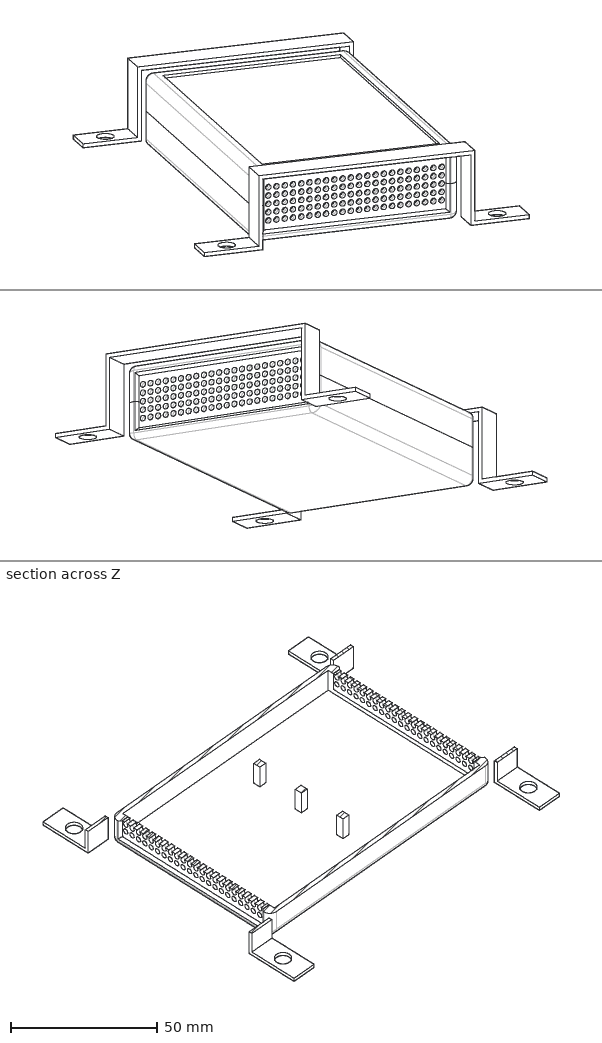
import cadquery as cq

overall_length = 132.0
overall_width = 118.0
overall_height = 28.0

bracket_width = 10.0
strap_thickness = 1.5
bracket_bottom = 1.0
foot_length = 19.8
foot_hole_diameter = 6.0
bridge_width = overall_width - 2 * foot_length
bracket_center_x = (overall_length - bracket_width) / 2
foot_hole_y = (overall_width - foot_length) / 2

case_length = 110.1
case_clearance = 0.3
case_width = bridge_width - 2 * (strap_thickness + case_clearance)
case_height = 26.1
split_height = case_height / 2
side_wall = 2.0
floor_thickness = 2.0
roof_thickness = 2.0
side_radius = 3.0
end_radius = 2.0

label_margin = 5.3
label_depth = 1.0
cavity_height = case_height - floor_thickness - roof_thickness - label_depth

opening_width = 66.0
opening_height = 18.5
opening_chamfer = 1.0
panel_thickness = 3.0
end_wall = opening_chamfer + panel_thickness

vent_diameter = 2.0
vent_columns = 22
vent_rows = 5
vent_field_width = 63.0
vent_pitch = vent_field_width / (vent_columns - 1)

post_size = 3.0
side_post_y = 19.5
crossbar_bottom = 19.5
cavity_top = floor_thickness + cavity_height
crossbar_length = 2 * side_post_y - post_size


def make_bracket(center_x):
    """Bent strap that bridges the case and ends in two drilled feet."""
    half_bridge = bridge_width / 2
    half_inside = half_bridge - strap_thickness
    half_overall = overall_width / 2
    foot_top = bracket_bottom + strap_thickness
    outline = [
        (-half_overall, bracket_bottom),
        (-half_inside, bracket_bottom),
        (-half_inside, overall_height - strap_thickness),
        (half_inside, overall_height - strap_thickness),
        (half_inside, bracket_bottom),
        (half_overall, bracket_bottom),
        (half_overall, foot_top),
        (half_bridge, foot_top),
        (half_bridge, overall_height),
        (-half_bridge, overall_height),
        (-half_bridge, foot_top),
        (-half_overall, foot_top),
    ]
    strap = cq.Workplane("YZ").polyline(outline).close().extrude(bracket_width / 2, both=True)
    holes = (
        cq.Workplane("XY")
        .pushPoints([(0, -foot_hole_y), (0, foot_hole_y)])
        .circle(foot_hole_diameter / 2)
        .extrude(foot_top)
    )
    return strap.cut(holes).translate((center_x, 0, 0))


def make_case():
    """Hollow rounded enclosure with open ends, not yet split."""
    case = cq.Workplane("XY").box(case_length, case_width, case_height, (True, True, False))
    case = case.edges("|Z or |X").fillet(side_radius)
    case = case.edges("<X or >X").fillet(end_radius)
    case = case.cut(make_cavity())
    case = case.cut(make_label_recess())
    for side in (-1, 1):
        case = case.cut(make_opening(side))
    return case


def make_cavity():
    """Rectangular space inside the case."""
    return cq.Workplane("XY").workplane(offset=floor_thickness).box(
        case_length - 2 * end_wall,
        case_width - 2 * side_wall,
        cavity_height,
        (True, True, False),
    )


def make_label_recess():
    """Shallow rectangular recess for a label in the top of the case."""
    return cq.Workplane("XY").workplane(offset=case_height - label_depth).box(
        case_length - 2 * label_margin,
        case_width - 2 * label_margin,
        label_depth,
        (True, True, False),
    )


def make_opening(side):
    """Window through one end wall, flared outward by a chamfer; side is -1 or +1 along X."""
    window = cq.Workplane("XY").box(end_wall, opening_width, opening_height)
    window = window.translate((side * (case_length - end_wall) / 2, 0, split_height))
    flare = (
        cq.Workplane("YZ", origin=(side * (case_length / 2 - opening_chamfer), 0, split_height))
        .rect(opening_width, opening_height)
        .workplane(offset=side * opening_chamfer)
        .rect(opening_width + 2 * opening_chamfer, opening_height + 2 * opening_chamfer)
        .loft(ruled=True)
    )
    return window.union(flare)


def make_post(center_y, top):
    """Square post standing on the floor of the case."""
    post = cq.Workplane("XY").workplane(offset=floor_thickness).box(
        post_size, post_size, top - floor_thickness, (True, True, False)
    )
    return post.translate((0, center_y, 0))


def make_crossbar():
    """Bar under the roof that runs between the side posts and rests on the center post."""
    return cq.Workplane("XY").workplane(offset=crossbar_bottom).box(
        post_size, crossbar_length, cavity_top - crossbar_bottom, (True, True, False)
    )


def make_shell(case, bottom, top):
    """Part of the case between two heights."""
    slab = cq.Workplane("XY").workplane(offset=bottom).box(
        case_length, case_width, top - bottom, (True, True, False)
    )
    return case.intersect(slab)


def make_panel(side):
    """Perforated plate that closes one end opening; side is -1 or +1 along X."""
    plate = cq.Workplane("YZ").rect(opening_width, opening_height).extrude(panel_thickness / 2, both=True)
    vents = (
        cq.Workplane("YZ")
        .rarray(vent_pitch, vent_pitch, vent_columns, vent_rows)
        .circle(vent_diameter / 2)
        .extrude(panel_thickness, both=True)
    )
    center_x = case_length / 2 - opening_chamfer - panel_thickness / 2
    return plate.cut(vents).translate((side * center_x, 0, split_height))


case = make_case()

lower_shell = make_shell(case, 0, split_height).union(make_post(0, crossbar_bottom))
for post_y in (-side_post_y, side_post_y):
    lower_shell = lower_shell.union(make_post(post_y, cavity_top))

upper_shell = make_shell(case, split_height, case_height).union(make_crossbar())

brackets = [make_bracket(side * bracket_center_x) for side in (-1, 1)]
panels = [make_panel(side) for side in (-1, 1)]

result = cq.Compound.makeCompound(
    [lower_shell.val(), upper_shell.val()]
    + [bracket.val() for bracket in brackets]
    + [panel.val() for panel in panels]
)